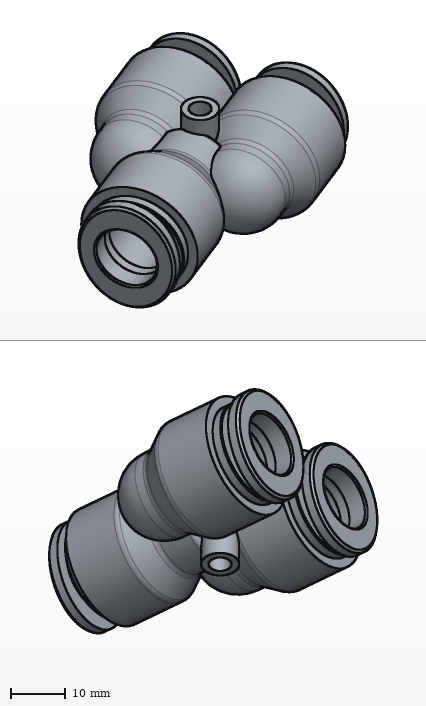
import cadquery as cq
import math


port_spacing = 21.5
overall_length = 53.8
housing_length = 41.8

shell_diameter = 23.5
neck_diameter = 17.0
shoulder_y = 9.0
neck_y = 4.0
blend_radius = 2.0
dome_center_y = 1.5
center_end_radius = 1.0

eyelet_y = 6.0
eyelet_diameter = 7.0
eyelet_hole_diameter = 4.2

collar_diameter = 19.6
collar_bore = 12.18
collar_length = 2.0
collar_chamfer = 0.2

sleeve_diameter = 14.2
sleeve_mouth_bore = 12.2
flange_width = 19.6
flange_height = 22.5
flange_thickness = 2.35
flange_chamfer = 0.5
mouth_chamfer = 0.35

socket_diameter = collar_bore

sleeve_face_y = overall_length / 2
housing_face_y = housing_length / 2
collar_face_y = housing_face_y + collar_length
socket_end_y = shoulder_y
shell_radius = shell_diameter / 2
neck_radius = neck_diameter / 2


def rod(diameter, start_y, end_y):
    """Cylinder about the Y axis from start_y up to end_y."""
    plane = cq.Workplane("XZ", origin=(0, start_y, 0))
    return plane.circle(diameter / 2).extrude(start_y - end_y)


def side_ports(body):
    """Copies of a +Y port body on the left and right port axes."""
    return [body.translate((side * port_spacing / 2, 0, 0)) for side in (-1, 1)]


def center_port(body):
    """Turn a body of a +Y port around so that it belongs to the central -Y port."""
    return body.rotate((0, 0, 0), (0, 0, 1), 180)


def all_ports(body):
    """Copies of a body in the two side ports and in the central port."""
    return side_ports(body) + [center_port(body)]


def port_profile():
    """Half outline of shell and cone, with tangent arcs at both ends of the cone, down to the neck."""
    slope = math.atan2(shell_radius - neck_radius, shoulder_y - neck_y)
    tangent = blend_radius * math.tan(slope / 2)
    run = tangent * math.cos(slope)
    drop = tangent * math.sin(slope)
    return (
        cq.Workplane("XY")
        .moveTo(0, housing_face_y)
        .lineTo(shell_radius, housing_face_y)
        .lineTo(shell_radius, shoulder_y + tangent)
        .tangentArcPoint((shell_radius - drop, shoulder_y - run), relative=False)
        .lineTo(neck_radius + drop, neck_y + run)
        .tangentArcPoint((neck_radius, neck_y - tangent), relative=False)
    )


def revolve_about_y(profile):
    return profile.close().revolve(360, (0, 0, 0), (0, 1, 0))


def domed_shell():
    """Side port: shell, cone and neck closed by a hemisphere."""
    profile = port_profile().lineTo(neck_radius, dome_center_y)
    return revolve_about_y(profile.tangentArcPoint((0, dome_center_y - neck_radius), relative=False))


def blunt_shell():
    """Central port: shell, cone and a long neck with a rounded flat end."""
    profile = (
        port_profile()
        .lineTo(neck_radius, center_end_radius - neck_y)
        .tangentArcPoint((neck_radius - center_end_radius, -neck_y), relative=False)
        .lineTo(0, -neck_y)
    )
    return revolve_about_y(profile)


def make_housing():
    eyelet = cq.Workplane("XY").circle(eyelet_diameter / 2).extrude(shell_radius, both=True)
    eyelet_hole = cq.Workplane("XY").circle(eyelet_hole_diameter / 2).extrude(shell_radius, both=True)
    body = center_port(blunt_shell())
    for shell in side_ports(domed_shell()):
        body = body.union(shell)
    body = body.union(eyelet.translate((0, eyelet_y, 0)))
    for socket in all_ports(rod(socket_diameter, socket_end_y, housing_face_y)):
        body = body.cut(socket)
    return body.cut(eyelet_hole.translate((0, eyelet_y, 0)))


def make_collar():
    """Ring that sits on the housing face, between the socket and the sleeve."""
    ring = rod(collar_diameter, housing_face_y, collar_face_y).faces(">Y").chamfer(collar_chamfer)
    return ring.cut(rod(collar_bore, housing_face_y, collar_face_y))


def make_sleeve():
    """Short tube on the collar, with an oval press flange and a bore tapering to the collar bore."""
    flange = (
        cq.Workplane("XZ", origin=(0, sleeve_face_y, 0))
        .ellipse(flange_width / 2, flange_height / 2)
        .extrude(flange_thickness)
        .faces(">Y")
        .chamfer(flange_chamfer)
    )
    tapered_bore = (
        cq.Workplane("XZ", origin=(0, sleeve_face_y, 0))
        .circle(sleeve_mouth_bore / 2)
        .workplane(offset=sleeve_face_y - collar_face_y)
        .circle(collar_bore / 2)
        .loft(ruled=True)
    )
    sleeve = flange.union(rod(sleeve_diameter, collar_face_y, sleeve_face_y)).cut(tapered_bore)
    return sleeve.faces(">Y").edges("%CIRCLE").chamfer(mouth_chamfer)


housing = make_housing()
collars = all_ports(make_collar())
sleeves = all_ports(make_sleeve())

result = cq.Compound.makeCompound([housing.val()] + [body.val() for body in collars + sleeves])